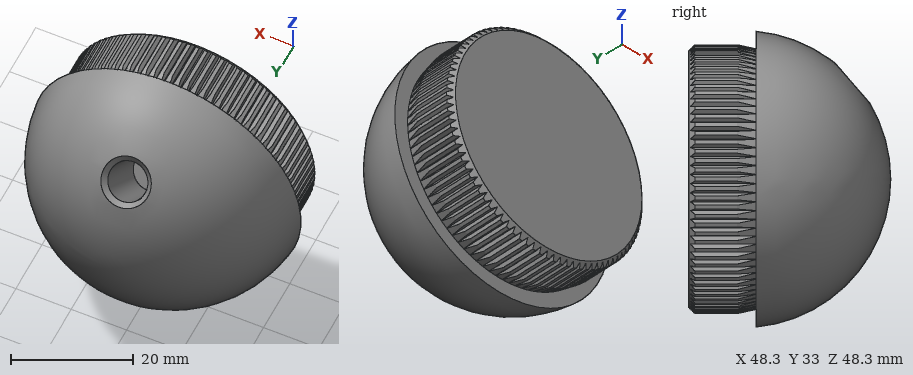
import cadquery as cq
import math


rim_radius = 24.15
dome_height = 22.0
sphere_radius = (rim_radius**2 + dome_height**2) / (2 * dome_height)
sphere_center_y = dome_height - sphere_radius

plug_length = 11.0
plug_radius = 21.95
neck_radius = 21.25
neck_length = 3.05
end_chamfer = 1.0

groove_count = 90
groove_root_radius = 21.2
groove_width = 0.85

hole_diameter = 6.9
hole_depth = 2 * hole_diameter
countersink_diameter = 8.7
hole_tilt = 49.0
drill_clearance = 2.4


def make_dome():
    """Spherical cap with its flat rim face at Y = 0."""
    middle_angle = (math.asin(-sphere_center_y / sphere_radius) + math.pi / 2) / 2
    arc_middle = (
        sphere_radius * math.cos(middle_angle),
        sphere_center_y + sphere_radius * math.sin(middle_angle),
    )
    return (
        cq.Workplane("XY")
        .lineTo(rim_radius, 0)
        .threePointArc(arc_middle, (0, dome_height))
        .close()
        .revolve(360, (0, 0), (0, 1))
    )


def make_plug_blank():
    """Smooth plug: tapered neck below the rim, cylinder, and chamfered end."""
    return (
        cq.Workplane("XY")
        .lineTo(neck_radius, 0)
        .lineTo(plug_radius, -neck_length)
        .lineTo(plug_radius, end_chamfer - plug_length)
        .lineTo(plug_radius - end_chamfer, -plug_length)
        .lineTo(0, -plug_length)
        .close()
        .revolve(360, (0, 0), (0, 1))
    )


def make_serrated_bar():
    """Bar with V grooves all round, one groove root lying on the Z axis."""
    pitch = 2 * math.pi / groove_count
    half_groove = math.asin(groove_width / 2 / plug_radius)

    def point(radius, angle):
        return (radius * math.sin(angle), radius * math.cos(angle))

    outline = cq.Workplane("XZ").moveTo(*point(groove_root_radius, 0))
    for index in range(groove_count):
        start = index * pitch
        end = start + pitch
        outline = (
            outline.lineTo(*point(plug_radius, start + half_groove))
            .threePointArc(
                point(plug_radius, start + pitch / 2),
                point(plug_radius, end - half_groove),
            )
        )
        if index < groove_count - 1:
            outline = outline.lineTo(*point(groove_root_radius, end))
    return outline.close().extrude(plug_length)


def make_hole():
    """Countersunk drill shape aimed at the centre of the sphere."""
    hole_radius = hole_diameter / 2
    sink_radius = countersink_diameter / 2
    sink_top = math.sqrt(sphere_radius**2 - sink_radius**2)
    sink_bottom = sink_top - (sink_radius - hole_radius)
    return (
        cq.Workplane("XZ")
        .moveTo(0, sink_top - hole_depth)
        .lineTo(hole_radius, sink_top - hole_depth)
        .lineTo(hole_radius, sink_bottom)
        .lineTo(sink_radius, sink_top)
        .lineTo(sink_radius, sink_top + drill_clearance)
        .lineTo(0, sink_top + drill_clearance)
        .close()
        .revolve(360, (0, 0), (0, 1))
        .rotate((0, 0, 0), (1, 0, 0), -hole_tilt)
        .translate((0, sphere_center_y, 0))
    )


plug = make_plug_blank().intersect(make_serrated_bar())
result = make_dome().union(plug).cut(make_hole())